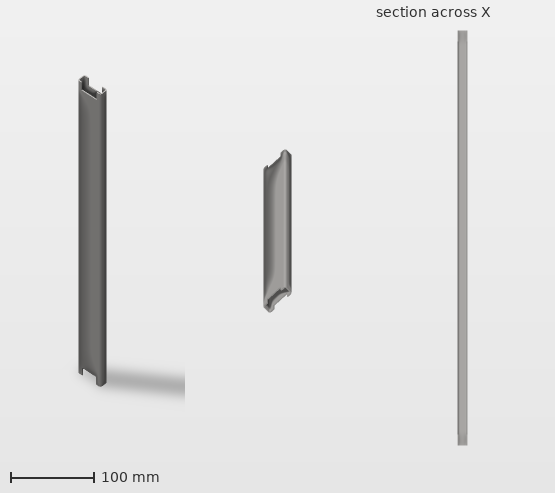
import cadquery as cq

width = 38.0
depth = 12.5
length = 499.5

wall = 1.5
outer_radius = 3.0
inner_radius = outer_radius - wall

notch_depth = 13.0
notch_width = 22.5
wide_notch_width = 25.0


def rounded_bar(size_x, size_y, radius):
    """Full-length bar with rounded long edges, centred on the origin."""
    return cq.Workplane("XY").box(size_x, size_y, length).edges("|Z").fillet(radius)


def end_notch(end, notch_size_x):
    """Cutter through both broad walls, at the top (end = 1) or the bottom (end = -1)."""
    center_z = end * (length - notch_depth) / 2
    return cq.Workplane("XY").box(notch_size_x, depth, notch_depth).translate((0, 0, center_z))


outer = rounded_bar(width, depth, outer_radius)
bore = rounded_bar(width - 2 * wall, depth - 2 * wall, inner_radius)
result = outer.cut(bore)

for end in (1, -1):
    result = result.cut(end_notch(end, notch_width))

result = result.cut(end_notch(1, wide_notch_width).translate((0, -depth / 2, 0)))